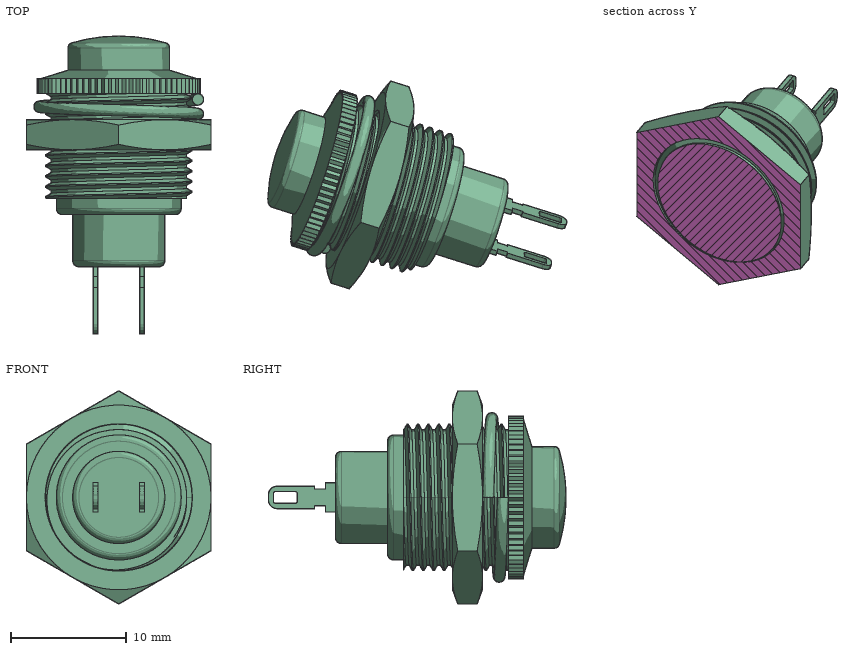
import cadquery as cq
import math


knurl_height = 1.32
knurl_tip_radius = 7.07
knurl_root_radius = 6.84
knurl_teeth = 72
cone_base_radius = 6.75
flange_height = 2.05

thread_radius = 6.35
thread_depth = 0.46
thread_pitch = 0.9
thread_crest_width = 0.1
thread_flank_angle = 30
thread_length = 9.08
thread_clearance = 0.03
crest_to_thread_end = 0.13
thread_root_radius = thread_radius - thread_depth

collar_radius = 5.42
collar_length = 1.4
rear_radius = 4.0
rear_length = 4.52
rear_edge_fillet = 0.55
collar_end = -thread_length - collar_length
rear_end = collar_end - rear_length

button_radius = 4.4
button_edge_height = 2.27
button_dome_rise = 0.7
button_fillet = 0.46

wire_radius = 0.5
washer_height = 2.25
washer_coil_radius = thread_radius + thread_clearance + wire_radius

nut_across_flats = 16
nut_thickness = 2.6
nut_chamfer_drop = 0.46
nut_corner_radius = nut_across_flats / math.sqrt(3)

terminal_spacing = 4.02
terminal_thickness = 0.4
shoulder_width = 2.55
shoulder_length = 0.85
neck_width = 1.47
neck_length = 0.93
tab_width = 1.95
tab_length = 4.02
tab_corner_radius = 0.77
slot_length = 2.05
slot_width = 1.0
slot_corner_radius = 0.15
slot_to_tip = 0.46


def turn_to_y(body):
    """Turn a body from the local Z axis to the Y axis."""
    return body.rotate((0, 0, 0), (1, 0, 0), -90)


def cylinder(radius, bottom, top):
    return cq.Workplane("XY").workplane(offset=bottom).circle(radius).extrude(top - bottom)


def make_knurled_flange():
    """V-toothed ring below a cone that rises to the foot of the button."""
    half_step = math.pi / knurl_teeth
    outline = []
    for i in range(2 * knurl_teeth):
        radius = knurl_root_radius if i % 2 else knurl_tip_radius
        outline.append((radius * math.cos(i * half_step), radius * math.sin(i * half_step)))
    ring = cq.Workplane("XY").polyline(outline).close().extrude(knurl_height)
    cone = (
        cq.Workplane("XZ")
        .moveTo(0, 0)
        .lineTo(cone_base_radius, 0)
        .lineTo(cone_base_radius, knurl_height)
        .lineTo(button_radius, flange_height)
        .lineTo(0, flange_height)
        .close()
        .revolve(360, (0, 0), (0, 1))
    )
    return ring.union(cone)


def make_thread():
    """Right-hand thread that starts inside the flange and is cut off flat at its rear end."""
    embed = 0.08
    half_crest = thread_crest_width / 2
    half_base = half_crest + (thread_depth + embed) * math.tan(math.radians(thread_flank_angle))
    start = -thread_length + crest_to_thread_end - 1.5 * thread_pitch
    turns = math.ceil(-start / thread_pitch)
    path = cq.Wire.makeHelix(thread_pitch, thread_pitch, thread_root_radius)
    ridge_turn = (
        cq.Workplane("XZ")
        .moveTo(thread_root_radius - embed, -half_base)
        .lineTo(thread_radius, -half_crest)
        .lineTo(thread_radius, half_crest)
        .lineTo(thread_root_radius - embed, half_base)
        .close()
        .sweep(cq.Workplane(obj=path), isFrenet=True)
    )
    core_start = start - thread_pitch
    thread = cylinder(thread_root_radius, core_start, knurl_height)
    for i in range(turns):
        thread = thread.union(ridge_turn.translate((0, 0, start + i * thread_pitch)))
    surplus = cylinder(2 * thread_radius, core_start, -thread_length)
    return thread.cut(surplus)


def make_housing():
    collar = cylinder(collar_radius, collar_end, -thread_length)
    rear = cylinder(rear_radius, rear_end, collar_end)
    collar = collar.faces("<Z").edges().fillet(rear_edge_fillet)
    rear = rear.faces("<Z").edges().fillet(rear_edge_fillet)
    housing = make_thread().union(make_knurled_flange()).union(collar.union(rear))
    return turn_to_y(housing)


def make_button():
    """Round button with a domed top and a rounded rim."""
    apex = button_edge_height + button_dome_rise
    dome_radius = (button_radius**2 + button_dome_rise**2) / (2 * button_dome_rise)
    middle = button_radius / 2
    middle_height = apex - dome_radius + math.sqrt(dome_radius**2 - middle**2)
    button = (
        cq.Workplane("XZ")
        .lineTo(button_radius, 0)
        .lineTo(button_radius, button_edge_height)
        .threePointArc((middle, middle_height), (0, apex))
        .close()
        .revolve(360, (0, 0), (0, 1))
    )
    rim = button.faces(">Z").edges("%CIRCLE")
    button = rim.fillet(button_fillet)
    return turn_to_y(button.translate((0, 0, flange_height)))


def make_spring_washer():
    """One left-hand turn of round wire between the flange and the nut, both ends at +X."""
    rise = washer_height - 2 * wire_radius
    path = cq.Wire.makeHelix(rise, rise, washer_coil_radius, lefthand=True)
    washer = (
        cq.Workplane("XZ")
        .center(washer_coil_radius, 0)
        .circle(wire_radius)
        .sweep(cq.Workplane(obj=path), isFrenet=True)
    )
    return turn_to_y(washer.translate((0, 0, wire_radius - washer_height)))


def make_nut():
    """Hex nut, corners at +Z and -Z, chamfered on both sides, with a plain bore."""
    face_radius = nut_across_flats / 2
    hexagon = (
        cq.Workplane("XY")
        .polygon(6, 2 * nut_corner_radius)
        .extrude(nut_thickness)
        .rotate((0, 0, 0), (0, 0, 1), 90)
    )
    chamfer_envelope = (
        cq.Workplane("XZ")
        .lineTo(face_radius, 0)
        .lineTo(nut_corner_radius, nut_chamfer_drop)
        .lineTo(nut_corner_radius, nut_thickness - nut_chamfer_drop)
        .lineTo(face_radius, nut_thickness)
        .lineTo(0, nut_thickness)
        .close()
        .revolve(360, (0, 0), (0, 1))
    )
    bore = cylinder(thread_radius + thread_clearance, 0, nut_thickness)
    nut = hexagon.intersect(chamfer_envelope).cut(bore)
    return turn_to_y(nut.translate((0, 0, -washer_height - nut_thickness)))


def make_terminal(x):
    """Flat solder terminal centred on x, standing on the rear face of the housing."""

    def strip(width, start, length):
        plate = cq.Workplane("XY").box(terminal_thickness, length, width)
        return plate.translate((x, rear_end - start - length / 2, 0))

    tab_start = shoulder_length + neck_length
    slot_start = tab_start + tab_length - slot_to_tip - slot_length
    shoulder = strip(shoulder_width, 0, shoulder_length)
    neck = strip(neck_width, shoulder_length, neck_length)
    tab = strip(tab_width, tab_start, tab_length).faces("<Y").edges("|X").fillet(tab_corner_radius)
    slot = strip(slot_width, slot_start, slot_length).edges("|X").fillet(slot_corner_radius)
    return shoulder.union(neck).union(tab).cut(slot)


housing = make_housing()
button = make_button()
spring_washer = make_spring_washer()
nut = make_nut()
terminals = [make_terminal(side * terminal_spacing / 2) for side in (-1, 1)]

result = cq.Compound.makeCompound(
    [
        housing.val(),
        button.val(),
        spring_washer.val(),
        nut.val(),
        *[terminal.val() for terminal in terminals],
    ]
)